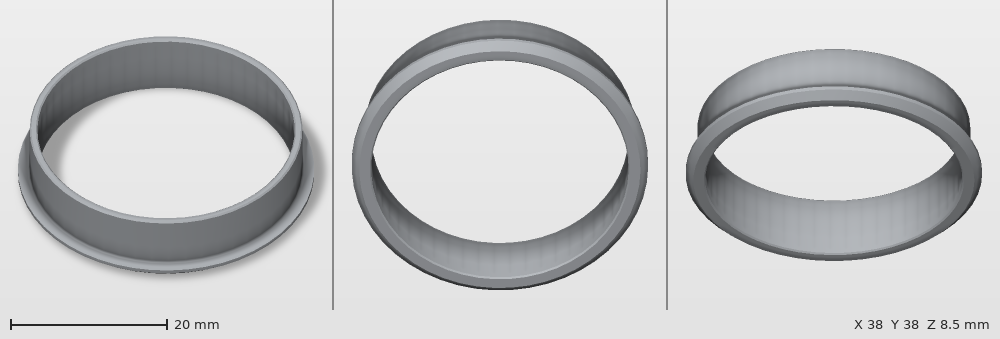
import cadquery as cq

flange_radius = 19.0
total_height = 8.5

sleeve_radius = 17.48
bore_radius = 16.5

edge_chamfer = 0.2

flange_height = 1.5
rim_height = 0.5
flange_bottom_radius = 18.0

root_fillet = 0.3

cone_height = flange_height - rim_height

section = (
    cq.Workplane("XZ")
    .moveTo(bore_radius, edge_chamfer)
    .lineTo(bore_radius + edge_chamfer, 0)
    .lineTo(flange_bottom_radius, 0)
    .lineTo(flange_radius, cone_height)
    .lineTo(flange_radius, flange_height)
    .lineTo(sleeve_radius + root_fillet, flange_height)
    .radiusArc((sleeve_radius, flange_height + root_fillet), root_fillet)
    .lineTo(sleeve_radius, total_height - edge_chamfer)
    .lineTo(sleeve_radius - edge_chamfer, total_height)
    .lineTo(bore_radius + edge_chamfer, total_height)
    .lineTo(bore_radius, total_height - edge_chamfer)
    .close()
)

result = section.revolve(360, (0, 0, 0), (0, 1, 0))